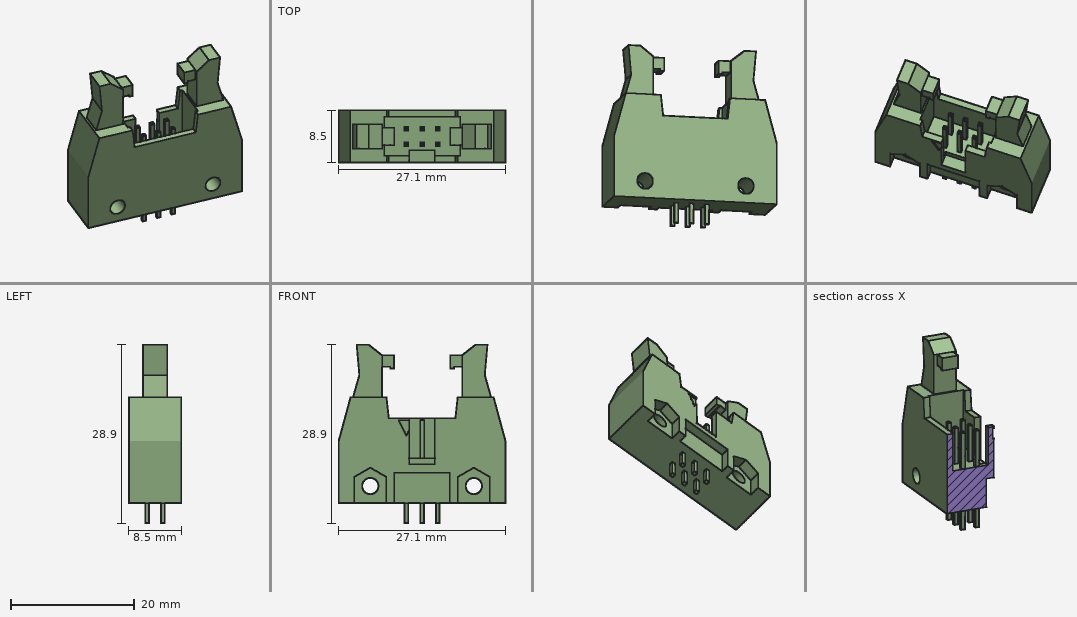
import cadquery as cq
import math


body_length = 27.1
body_width = 8.5
body_height = 17.2
shoulder_height = 10.07
body_top_length = 23.22
wall_height = 13.78
gap_top_length = 11.52
gap_bottom_length = 10.77
front_y = -body_width / 2

cavity_length = 12.33
cavity_width = 6.3
cavity_floor = 7.32
slot_length = 4.17
slot_floor = 6.3
slot_back_y = -2.25

mark_half_width = 1.27
mark_top = 13.5
mark_tip = 10.95
mark_depth = 0.2

screw_spacing = 16.8
screw_height = 2.78
screw_diameter = 2.6
nut_flats = 5.15
nut_depth = 1.8

recess_length = 8.97
recess_height = 4.92
recess_depth = 1.35

pin_columns = 3
pin_rows = 2
pin_pitch = 2.55
pin_side = 0.65
pin_bottom = -3.25
pin_top = 13.7
pin_tip_chamfer = 0.2

latch_top = 25.7
latch_width = 4.0
latch_inner_x = 6.48
latch_foot_x = 11.2
latch_waist_x = 10.2
latch_waist_z = 20.8
latch_top_outer_x = 10.62
latch_top_inner_x = 8.65
hook_width = 2.85
hook_tip_x = 4.55
hook_top = 24.0
hook_bottom = 22.12
hook_lip_x = 5.18
hook_lip_bottom = 21.83


def plate(points, y_start, y_end):
    """Extrude an X-Z outline from y_start to y_end."""
    return cq.Workplane("XZ", origin=(0, y_end, 0)).polyline(points).close().extrude(y_end - y_start)


def block(length, y_start, y_end, z_start, z_end):
    """Box centred on X = 0."""
    width = y_end - y_start
    height = z_end - z_start
    return (
        cq.Workplane("XY", origin=(0, (y_start + y_end) / 2, z_start))
        .box(length, width, height, centered=(True, True, False))
    )


def make_housing():
    right_outline = [
        (body_length / 2, 0),
        (body_length / 2, shoulder_height),
        (body_top_length / 2, body_height),
        (gap_top_length / 2, body_height),
        (gap_bottom_length / 2, wall_height),
    ]
    left_outline = [(-x, z) for x, z in reversed(right_outline)]
    housing = plate(right_outline + left_outline, front_y, -front_y)
    cavity = block(cavity_length, -cavity_width / 2, cavity_width / 2, cavity_floor, body_height)
    slot = block(slot_length, front_y, slot_back_y, slot_floor, body_height)
    recess = block(recess_length, front_y, front_y + recess_depth, 0, recess_height)
    return housing.cut(cavity).cut(slot).cut(recess)


def make_pin_mark():
    mark_x = -pin_pitch
    outline = [
        (mark_x - mark_half_width, mark_top),
        (mark_x + mark_half_width, mark_top),
        (mark_x, mark_tip),
    ]
    return plate(outline, front_y, front_y + mark_depth)


def make_nut_pocket(x):
    """Upper half of a point-up hexagon, open through the underside."""
    point_radius = nut_flats / math.sqrt(3)
    corner_z = screw_height + point_radius / 2
    outline = [
        (x - nut_flats / 2, 0),
        (x - nut_flats / 2, corner_z),
        (x, screw_height + point_radius),
        (x + nut_flats / 2, corner_z),
        (x + nut_flats / 2, 0),
    ]
    return plate(outline, front_y, front_y + nut_depth)


def make_screw_hole(x):
    return (
        cq.Workplane("XZ", origin=(x, -front_y, screw_height))
        .circle(screw_diameter / 2)
        .extrude(body_width)
    )


def make_latch(side):
    """Latch arm with its hook; side is +1 or -1 along X."""
    arm_outline = [
        (latch_inner_x, body_height),
        (latch_foot_x, body_height),
        (latch_waist_x, latch_waist_z),
        (latch_top_outer_x, latch_top),
        (latch_top_inner_x, latch_top),
        (latch_inner_x, hook_top),
    ]
    hook_outline = [
        (latch_inner_x, hook_top),
        (hook_tip_x, hook_top),
        (hook_tip_x, hook_lip_bottom),
        (hook_lip_x, hook_lip_bottom),
        (hook_lip_x, hook_bottom),
        (latch_inner_x, hook_bottom),
    ]
    arm = plate([(side * x, z) for x, z in arm_outline], -latch_width / 2, latch_width / 2)
    hook = plate([(side * x, z) for x, z in hook_outline], -hook_width / 2, hook_width / 2)
    return arm.union(hook)


def make_pin(x, y):
    return (
        cq.Workplane("XY", origin=(x, y, pin_bottom))
        .rect(pin_side, pin_side)
        .extrude(pin_top - pin_bottom)
        .faces(">Z")
        .chamfer(pin_tip_chamfer)
    )


result = make_housing().cut(make_pin_mark())

for side in (-1, 1):
    screw_x = side * screw_spacing / 2
    result = result.cut(make_nut_pocket(screw_x))
    result = result.cut(make_screw_hole(screw_x))
    result = result.union(make_latch(side))

for column in range(pin_columns):
    for row in range(pin_rows):
        pin_x = (column - (pin_columns - 1) / 2) * pin_pitch
        pin_y = (row - (pin_rows - 1) / 2) * pin_pitch
        result = result.union(make_pin(pin_x, pin_y))